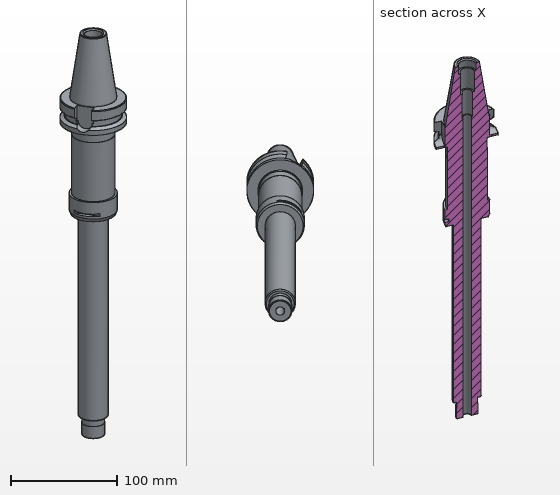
import cadquery as cq

total_length = 415.0

tip_diameter = 22.0
tip_upper_diameter = 21.5
tip_line_height = 13.0
tip_chamfer = 1.0
shaft_diameter = 28.5
shaft_bottom = 20.7
shaft_chamfer = 1.2

collar_diameter = 45.5
collar_bottom = 229.5
collar_top = 249.8
collar_chamfer = 1.2
collar_chamfer_height = 3.5
body_diameter = 41.0
neck_diameter = 40.5
neck_bottom = 310.8
neck_root_chamfer = 1.0

flange_diameter = 63.0
flange_bottom = 323.0
flange_top = 348.5
flange_edge_chamfer = 1.0
groove_diameter = 53.5
lower_rim_top = 328.0
groove_floor_bottom = 330.3
groove_ledge_width = 1.0
groove_floor_top = 336.0
upper_rim_bottom = 338.5

taper_large_diameter = 44.5
taper_small_diameter = 25.5
taper_start = 349.8
taper_end_chamfer = 0.62

coolant_diameter = 8.5
coolant_relief_diameter = 10.0
coolant_relief_depth = 62.2
thread_bore_diameter = 13.5
thread_bore_depth = 33.0
mouth_diameter = 17.0
mouth_depth = 9.0
mouth_chamfer = 1.2

slot_width = 17.0
slot_bottom_radius = 7.5
slot_floor_distance = 23.0
slot_bottom = 325.5

slit_depth = 4.0
slit_bottom = 235.2
slit_height = 2.5


def turned_body():
    """Revolve the complete outer half-profile about the Z axis."""
    tip_radius = tip_diameter / 2
    tip_upper_radius = tip_upper_diameter / 2
    shaft_radius = shaft_diameter / 2
    collar_radius = collar_diameter / 2
    body_radius = body_diameter / 2
    neck_radius = neck_diameter / 2
    flange_radius = flange_diameter / 2
    groove_radius = groove_diameter / 2
    taper_base_radius = taper_large_diameter / 2
    taper_end_radius = taper_small_diameter / 2
    outline = [
        (0, 0),
        (tip_radius - tip_chamfer, 0),
        (tip_radius, tip_chamfer),
        (tip_radius, tip_line_height),
        (tip_upper_radius, tip_line_height),
        (tip_upper_radius, shaft_bottom - shaft_chamfer),
        (shaft_radius - shaft_chamfer, shaft_bottom - shaft_chamfer),
        (shaft_radius, shaft_bottom),
        (shaft_radius, collar_bottom),
        (collar_radius - collar_chamfer, collar_bottom),
        (collar_radius, collar_bottom + collar_chamfer_height),
        (collar_radius, collar_top),
        (body_radius, collar_top),
        (body_radius, neck_bottom),
        (neck_radius, neck_bottom),
        (neck_radius, flange_bottom - neck_root_chamfer),
        (neck_radius + neck_root_chamfer, flange_bottom),
        (flange_radius, flange_bottom),
        (flange_radius, lower_rim_top),
        (groove_radius + groove_ledge_width, groove_floor_bottom),
        (groove_radius, groove_floor_bottom),
        (groove_radius, groove_floor_top),
        (flange_radius, upper_rim_bottom),
        (flange_radius, flange_top - flange_edge_chamfer),
        (flange_radius - flange_edge_chamfer, flange_top),
        (taper_base_radius, flange_top),
        (taper_base_radius, taper_start),
        (taper_end_radius, total_length - taper_end_chamfer),
        (taper_end_radius - taper_end_chamfer, total_length),
        (0, total_length),
    ]
    return cq.Workplane("XZ").polyline(outline).close().revolve(360, (0, 0), (0, 1))


def bores():
    """Through coolant hole that widens in steps up to the chamfered mouth in the taper."""
    coolant_radius = coolant_diameter / 2
    relief_radius = coolant_relief_diameter / 2
    thread_radius = thread_bore_diameter / 2
    mouth_radius = mouth_diameter / 2
    relief_floor = total_length - coolant_relief_depth
    thread_floor = total_length - thread_bore_depth
    mouth_floor = total_length - mouth_depth
    outline = [
        (0, 0),
        (coolant_radius, 0),
        (coolant_radius, relief_floor),
        (relief_radius, relief_floor),
        (relief_radius, thread_floor),
        (thread_radius, thread_floor),
        (thread_radius, mouth_floor),
        (mouth_radius, mouth_floor),
        (mouth_radius, total_length - mouth_chamfer),
        (mouth_radius + mouth_chamfer, total_length),
        (0, total_length),
    ]
    return cq.Workplane("XZ").polyline(outline).close().revolve(360, (0, 0), (0, 1))


def drive_slot(side):
    """Slot cut into the flange on the given Y side (-1 or 1), stepping in to a narrower round bottom."""
    half_width = slot_width / 2
    arc_center_height = slot_bottom + slot_bottom_radius
    return (
        cq.Workplane("XZ", origin=(0, side * slot_floor_distance, 0))
        .moveTo(-half_width, flange_top)
        .lineTo(-half_width, arc_center_height)
        .lineTo(-slot_bottom_radius, arc_center_height)
        .threePointArc((0, slot_bottom), (slot_bottom_radius, arc_center_height))
        .lineTo(half_width, arc_center_height)
        .lineTo(half_width, flange_top)
        .close()
        .extrude(-side * flange_diameter / 2)
    )


def collar_slit():
    """Flat-floored slit across the -Y side of the collar."""
    return cq.Workplane("XY").box(
        collar_diameter, slit_depth, slit_height, centered=(True, False, False)
    ).translate((0, -collar_diameter / 2, slit_bottom))


result = turned_body().cut(bores()).cut(collar_slit())
for side in (-1, 1):
    result = result.cut(drive_slot(side))